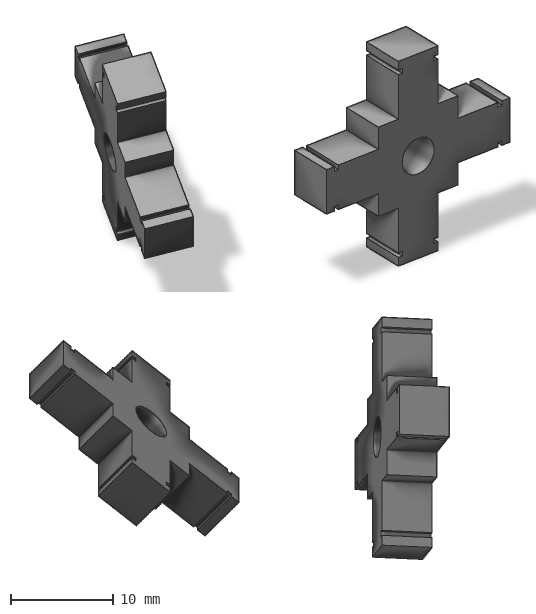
import cadquery as cq

span = 23.0
thickness = 5.0
arm_width = 5.0
hub_side = 10.0
bore_diameter = 4.0
groove_width = 0.5
groove_depth = 0.5
groove_end_offset = 1.0


def centered_block(size_x, size_z):
    """Full-thickness block centered on the origin."""
    return cq.Workplane("XY").box(size_x, thickness, size_z)


def arm_grooves():
    """Cutters for the grooves on both sides of both X arms."""
    center_x = span / 2 - groove_end_offset - groove_width / 2
    center_z = arm_width / 2 - groove_depth / 2
    corners = [(sx * center_x, sz * center_z) for sx in (-1, 1) for sz in (-1, 1)]
    return (
        cq.Workplane("XZ")
        .pushPoints(corners)
        .rect(groove_width, groove_depth)
        .extrude(thickness / 2, both=True)
    )


body = (
    centered_block(hub_side, hub_side)
    .union(centered_block(span, arm_width))
    .union(centered_block(arm_width, span))
)

for turn in (0, 90):
    body = body.cut(arm_grooves().rotate((0, 0, 0), (0, 1, 0), turn))

bore = cq.Workplane("XZ").circle(bore_diameter / 2).extrude(thickness / 2, both=True)
result = body.cut(bore)